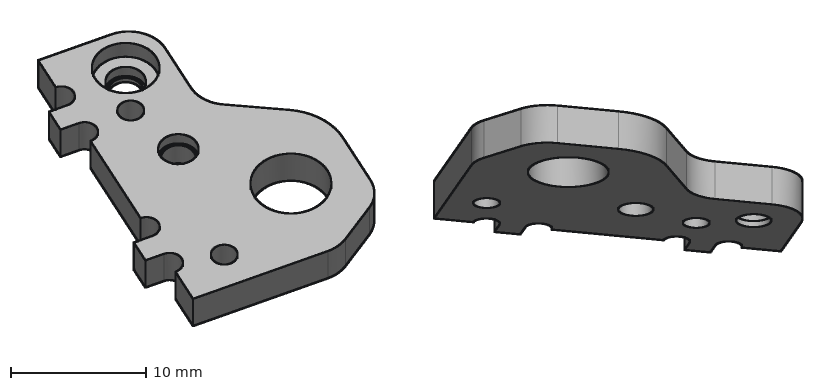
import cadquery as cq

length = 26.5
depth = 18.5
thickness = 3.0

tab_depth = 1.5
plate_depth = depth - tab_depth
shelf_y = 9.0
ramp_start_x = 9.0
ramp_end_x = 14.0
bevel_start_x = 23.0
bevel_end_y = 12.0
corner_radius = 3.0
crest_radius = 5.0

tab_width = 2.0
tab_centers_x = [6.0, 20.5]
notch_radius = tab_width / 2

large_hole_diameter = 6.0
large_hole_center = (19.2, 11.53)
pin_hole_diameter = 2.0
pin_hole_centers = [(7.5, 4.0), (23.5, 4.0)]
bore_diameter = 3.0
through_diameter = 2.6
bore_depth = 1.0
bore_y = 5.5
recessed_bore_center = (3.5, bore_y)
plain_bore_center = (12.5, bore_y)
recess_diameter = 5.0
recess_depth = 1.5


def make_plate():
    """Flat plate with a low shelf on the left and a raised, rounded right side."""
    plate = (
        cq.Workplane("XY")
        .moveTo(0, 0)
        .lineTo(length, 0)
        .lineTo(length, bevel_end_y)
        .lineTo(bevel_start_x, plate_depth)
        .lineTo(ramp_end_x, plate_depth)
        .lineTo(ramp_start_x, shelf_y)
        .lineTo(0, shelf_y)
        .close()
        .extrude(thickness)
    )
    rounded_corners = [
        (0, shelf_y, corner_radius),
        (ramp_start_x, shelf_y, corner_radius),
        (ramp_end_x, plate_depth, crest_radius),
        (bevel_start_x, plate_depth, corner_radius),
        (length, bevel_end_y, corner_radius),
    ]
    for x, y, radius in rounded_corners:
        corner_edge = cq.selectors.NearestToPointSelector((x, y, thickness / 2))
        plate = plate.edges("|Z").edges(corner_edge).fillet(radius)
    return plate


def add_tab(plate, center_x):
    """Add a square-ended tab and cut the notch on each side of its root."""
    notch_offset = tab_width / 2 + notch_radius
    notch_centers = [(center_x - notch_offset, 0), (center_x + notch_offset, 0)]
    notches = (
        cq.Workplane("XY").pushPoints(notch_centers).circle(notch_radius).extrude(thickness)
    )
    tab = cq.Workplane("XY").box(
        tab_width, tab_depth + notch_radius, thickness, centered=(True, False, False)
    )
    return plate.cut(notches).union(tab.translate((center_x, -tab_depth, 0)))


def cut_holes(body, centers, diameter, start_depth=0, end_depth=thickness):
    """Cut round holes between two depths measured down from the top face."""
    cutters = (
        cq.Workplane("XY", origin=(0, 0, thickness - end_depth))
        .pushPoints(centers)
        .circle(diameter / 2)
        .extrude(end_depth - start_depth)
    )
    return body.cut(cutters)


def cut_stepped_bore(body, center, start_depth):
    """Cut a bore that narrows to a through hole, leaving a small ledge."""
    ledge_depth = start_depth + bore_depth
    body = cut_holes(body, [center], bore_diameter, start_depth, ledge_depth)
    return cut_holes(body, [center], through_diameter, ledge_depth)


result = make_plate()
for tab_center_x in tab_centers_x:
    result = add_tab(result, tab_center_x)

result = cut_holes(result, [large_hole_center], large_hole_diameter)
result = cut_holes(result, pin_hole_centers, pin_hole_diameter)

result = cut_stepped_bore(result, plain_bore_center, 0)
result = cut_holes(result, [recessed_bore_center], recess_diameter, end_depth=recess_depth)
result = cut_stepped_bore(result, recessed_bore_center, recess_depth)